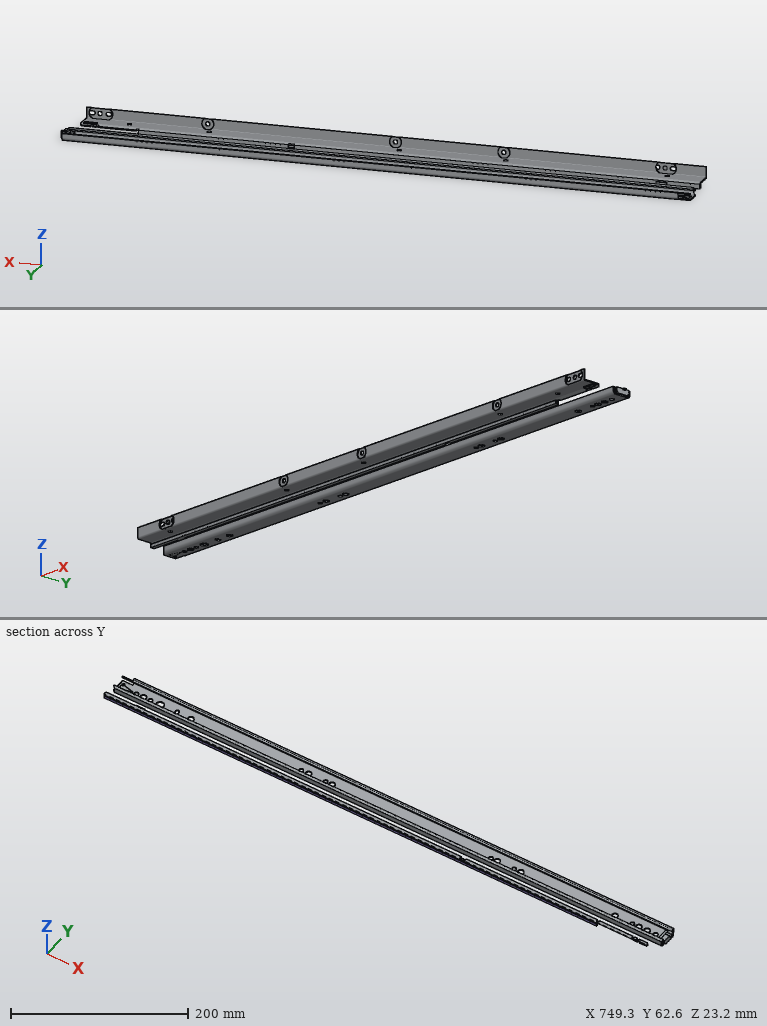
import cadquery as cq

sheet = 1.5
overall_length = 749.3
overall_depth = 62.58
overall_height = 23.24

cabinet_length = 745.2
cabinet_width = 26.0
cabinet_height = 8.8
cabinet_corner = 3.8
lip_width = 5.0
lip_drop = 0.6
cabinet_back = overall_depth
cabinet_front = cabinet_back - cabinet_width
cabinet_center = (cabinet_front + cabinet_back) / 2
back_flange_start = 13.5
front_corner_chamfer = 4.0
hole_positions_by_diameter = {
    5.2: [25.0, 44.0, 248.5, 281.7, 505.8, 537.2, 697.6],
    5.8: [729.2],
    7.4: [34.5, 98.8, 258.5, 290.3, 514.3, 546.4, 674.0, 706.4, 717.5],
    9.5: [57.0],
}
adjusting_slot_x = 79.5
adjusting_slot_length = 7.4
adjusting_slot_width = 4.6
latch_hole_x = 4.7
latch_hole_offset = 4.5
latch_hole_diameter = 3.0
latch_pocket_start = 3.0
latch_pocket_tip = 20.0
latch_pocket_width = 9.0
latch_pocket_depth = 0.6

stop_start = 737.0
stop_end = 747.6
stop_clearance = 0.4
stop_ledge_end = 742.0
stop_ledge_height = 5.0
stop_bevel = 2.0
tongue_width = 3.4
tongue_offset = 2.0
tongue_thickness = 1.8

drawer_length = 736.0
drawer_width = 25.7
web_top = 11.0
bend_radius = 2.0
hook_bottom = 4.0
hook_width = 5.6
hook_length = 668.0
hook_lip_top = 8.2
hook_shoulder = 4.4
hook_shoulder_drop = 1.2
wall_hole_z = 17.4
wall_hole_diameter = 5.0
wall_hole_positions = [48.5, 57.5, 240.3, 369.0, 592.0, 720.0]
wall_slots = {39.0: 7.0, 709.5: 6.5, 729.5: 7.5}
wall_slot_height = 4.5
wall_dimples = {47.5: 24.0, 240.3: 14.0, 369.0: 14.0, 592.0: 14.0, 719.0: 28.0}
wall_dimple_diameter = 14.0
wall_dimple_depth = 0.8
web_hole_y = 10.2
web_hole_diameter = 5.0
web_hole_positions = [43.4, 235.2, 361.8, 587.4, 682.2]
catch_start = 38.5
catch_length = 12.5
catch_projection = 2.2
edge_notches = {485.0: 7.0, 668.0: 3.0, 715.5: 2.5, 722.0: 2.5}
edge_notch_depth = 2.2
end_pad_start = 718.0
end_pad_end = 733.0
end_pad_width = 9.5
end_pad_sink = 0.8
end_pad_hole_x = 725.0
end_pad_hole_diameter = 3.5
end_pad_hole_inset = 5.0
drawer_end_chamfer = 2.2


def box(x_range, y_range, z_range):
    """Axis-aligned box between the given limits."""
    x0, x1 = x_range
    y0, y1 = y_range
    z0, z1 = z_range
    return cq.Workplane("XY").box(x1 - x0, y1 - y0, z1 - z0, centered=False).translate((x0, y0, z0))


def vertical_holes(points, diameter):
    """Upright cylinders through the full height at the given (x, y) points, used to cut holes."""
    return cq.Workplane("XY").pushPoints(points).circle(diameter / 2).extrude(overall_height)


def rounded_wall_block(x, length, height, depth):
    """Round-ended block at the hole height of the wall, reaching inward from the wall's outer face."""
    if length > height:
        outline = cq.Workplane("XZ").center(x, wall_hole_z).slot2D(length, height)
    else:
        outline = cq.Workplane("XZ").center(x, wall_hole_z).circle(height / 2)
    return outline.extrude(-depth)


def make_cabinet_rail():
    half = cabinet_width / 2
    inner = half - sheet
    lip_edge = half - lip_width
    lip_top = cabinet_height - lip_drop
    inner_corner = cabinet_corner - sheet
    section = (
        cq.Workplane("YZ", origin=(0, cabinet_center, 0))
        .moveTo(-half + cabinet_corner, 0)
        .lineTo(half - cabinet_corner, 0)
        .radiusArc((half, cabinet_corner), -cabinet_corner)
        .lineTo(half, cabinet_height)
        .lineTo(lip_edge, lip_top)
        .lineTo(lip_edge, lip_top - sheet)
        .lineTo(inner, cabinet_height - sheet)
        .lineTo(inner, cabinet_corner)
        .radiusArc((inner - inner_corner, sheet), inner_corner)
        .lineTo(-inner + inner_corner, sheet)
        .radiusArc((-inner, cabinet_corner), inner_corner)
        .lineTo(-inner, cabinet_height - sheet)
        .lineTo(-lip_edge, lip_top - sheet)
        .lineTo(-lip_edge, lip_top)
        .lineTo(-half, cabinet_height)
        .lineTo(-half, cabinet_corner)
        .radiusArc((-half + cabinet_corner, 0), -cabinet_corner)
        .close()
    )
    rail = section.extrude(cabinet_length)

    rail = rail.cut(
        box((0, back_flange_start), (cabinet_back - cabinet_corner, cabinet_back), (0, cabinet_height))
    )
    corner = (
        cq.Workplane("XY")
        .moveTo(0, cabinet_front)
        .lineTo(front_corner_chamfer, cabinet_front)
        .lineTo(0, cabinet_front + front_corner_chamfer)
        .close()
        .extrude(cabinet_height)
    )
    rail = rail.cut(corner)

    for diameter, positions in hole_positions_by_diameter.items():
        rail = rail.cut(vertical_holes([(x, cabinet_center) for x in positions], diameter))
    slot = (
        cq.Workplane("XY")
        .center(adjusting_slot_x, cabinet_center)
        .slot2D(adjusting_slot_length, adjusting_slot_width, 90)
        .extrude(sheet)
    )
    rail = rail.cut(slot)

    latch_hole = vertical_holes([(latch_hole_x, cabinet_center + latch_hole_offset)], latch_hole_diameter)
    pocket = (
        cq.Workplane("XY", origin=(0, 0, sheet - latch_pocket_depth))
        .moveTo(latch_pocket_start, cabinet_center - latch_pocket_width / 2)
        .lineTo(latch_pocket_tip, cabinet_center)
        .lineTo(latch_pocket_start, cabinet_center + latch_pocket_width / 2)
        .close()
        .extrude(latch_pocket_depth)
    )
    return rail.cut(latch_hole).cut(pocket)


def make_end_stop():
    reach = cabinet_width / 2 - cabinet_corner
    ledge = box(
        (stop_start, stop_ledge_end),
        (cabinet_center - reach, cabinet_center + reach),
        (sheet, stop_ledge_height),
    )
    head_reach = cabinet_width / 2 - lip_width
    head_top = cabinet_height - stop_clearance
    head = box(
        (stop_ledge_end, cabinet_length),
        (cabinet_center - head_reach, cabinet_center + head_reach),
        (sheet, head_top),
    )
    plate = box(
        (cabinet_length, stop_end),
        (cabinet_center - reach, cabinet_center + reach),
        (sheet, head_top),
    )
    plate = plate.edges("|X and <Z").chamfer(stop_bevel)
    tongue_y = cabinet_center + tongue_offset
    tongue = box(
        (stop_ledge_end, overall_length),
        (tongue_y - tongue_width / 2, tongue_y + tongue_width / 2),
        (cabinet_height - tongue_thickness, cabinet_height),
    )
    return ledge.union(head).union(plate).union(tongue)


def make_drawer_rail():
    edge = drawer_width
    web_bottom = web_top - sheet
    shoulder_z = web_top - hook_shoulder_drop
    section = (
        cq.Workplane("YZ")
        .moveTo(0, overall_height)
        .lineTo(0, web_bottom + bend_radius)
        .radiusArc((bend_radius, web_bottom), -bend_radius)
        .lineTo(edge - hook_shoulder - sheet, web_bottom)
        .lineTo(edge - sheet, shoulder_z - sheet)
        .lineTo(edge, shoulder_z - sheet)
        .lineTo(edge, shoulder_z)
        .lineTo(edge - hook_shoulder, web_top)
        .lineTo(bend_radius, web_top)
        .radiusArc((sheet, web_top + bend_radius - sheet), bend_radius - sheet)
        .lineTo(sheet, overall_height)
        .close()
    )
    rail = section.extrude(drawer_length)

    hook_back = edge - hook_width
    hook = (
        cq.Workplane("YZ")
        .moveTo(edge, shoulder_z - sheet)
        .lineTo(edge, hook_bottom)
        .lineTo(hook_back, hook_bottom)
        .lineTo(hook_back, hook_lip_top)
        .lineTo(hook_back + sheet, hook_lip_top)
        .lineTo(hook_back + sheet, hook_bottom + sheet)
        .lineTo(edge - sheet, hook_bottom + sheet)
        .lineTo(edge - sheet, shoulder_z)
        .lineTo(edge, shoulder_z)
        .close()
        .extrude(hook_length)
    )
    rail = rail.union(hook)

    wall_zone = box((0, drawer_length), (0, drawer_width), (web_top, overall_height))
    for x, length in wall_dimples.items():
        raised = rounded_wall_block(x, length, wall_dimple_diameter, sheet + wall_dimple_depth)
        recess = rounded_wall_block(x, length, wall_dimple_diameter, wall_dimple_depth)
        rail = rail.union(raised.intersect(wall_zone)).cut(recess.intersect(wall_zone))

    hole_depth = sheet + wall_dimple_depth
    holes = (
        cq.Workplane("XZ")
        .pushPoints([(x, wall_hole_z) for x in wall_hole_positions])
        .circle(wall_hole_diameter / 2)
        .extrude(-hole_depth)
    )
    rail = rail.cut(holes)
    for x, length in wall_slots.items():
        rail = rail.cut(rounded_wall_block(x, length, wall_slot_height, hole_depth))

    rail = rail.cut(vertical_holes([(x, web_hole_y) for x in web_hole_positions], web_hole_diameter))

    rail = rail.union(
        box(
            (catch_start, catch_start + catch_length),
            (edge - sheet, edge + catch_projection),
            (hook_bottom, shoulder_z - sheet),
        )
    )

    for x, length in edge_notches.items():
        notch = box(
            (x - length / 2, x + length / 2),
            (edge - edge_notch_depth, edge),
            (0, overall_height),
        )
        rail = rail.cut(notch)

    pad_x = (end_pad_start, end_pad_end)
    pad_y = (edge - end_pad_width, edge - hook_shoulder)
    rail = rail.union(box(pad_x, pad_y, (web_bottom - end_pad_sink, web_top)))
    rail = rail.cut(box(pad_x, pad_y, (web_top - end_pad_sink, web_top)))
    hole_y = edge - end_pad_hole_inset
    rail = rail.cut(vertical_holes([(end_pad_hole_x, hole_y)], end_pad_hole_diameter))
    corner = (
        cq.Workplane("XY")
        .moveTo(drawer_length, edge)
        .lineTo(drawer_length - drawer_end_chamfer, edge)
        .lineTo(drawer_length, edge - drawer_end_chamfer)
        .close()
        .extrude(overall_height)
    )
    return rail.cut(corner)


cabinet_rail = make_cabinet_rail().solids()
end_stop = make_end_stop().solids()
drawer_rail = make_drawer_rail().solids()

result = cq.Compound.makeCompound([cabinet_rail.val(), end_stop.val(), drawer_rail.val()])